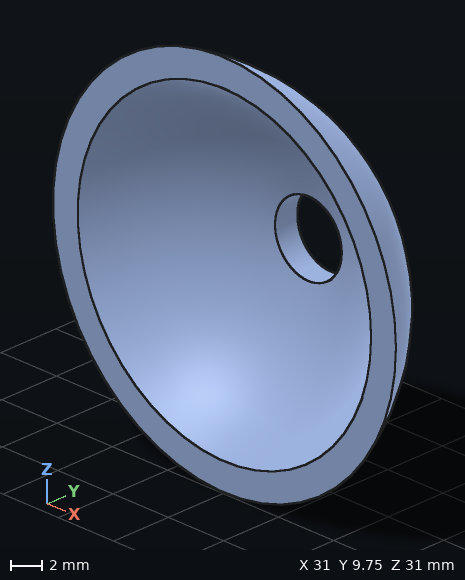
import cadquery as cq
import math

rim_radius = 15.5
outer_sphere_radius = 17.0
wall_thickness = 2.0
hole_radius = 3.0

inner_sphere_radius = outer_sphere_radius - wall_thickness
rim_offset = math.sqrt(outer_sphere_radius**2 - rim_radius**2)
inner_rim_radius = math.sqrt(inner_sphere_radius**2 - rim_offset**2)


def hole_edge(sphere_radius):
    """Point where the hole wall meets a sphere."""
    return hole_radius, math.sqrt(sphere_radius**2 - hole_radius**2)


def arc_middle(sphere_radius, start_radius):
    """Point on a sphere midway in angle between the rim and the hole."""
    start_angle = math.acos(start_radius / sphere_radius)
    end_angle = math.acos(hole_radius / sphere_radius)
    angle = (start_angle + end_angle) / 2
    return sphere_radius * math.cos(angle), sphere_radius * math.sin(angle)


wall_section = (
    cq.Workplane("XY")
    .moveTo(inner_rim_radius, rim_offset)
    .lineTo(rim_radius, rim_offset)
    .threePointArc(arc_middle(outer_sphere_radius, rim_radius), hole_edge(outer_sphere_radius))
    .lineTo(*hole_edge(inner_sphere_radius))
    .threePointArc(
        arc_middle(inner_sphere_radius, inner_rim_radius),
        (inner_rim_radius, rim_offset),
    )
    .close()
)

result = wall_section.revolve(360, (0, 0, 0), (0, 1, 0))